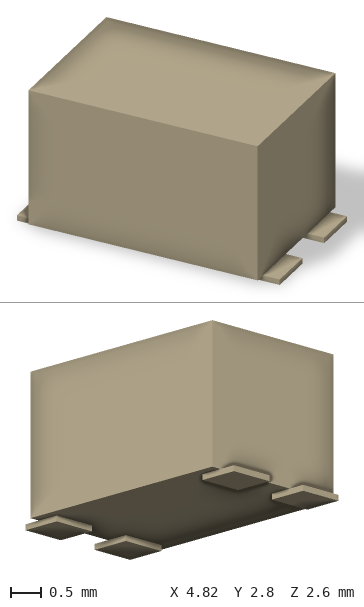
import cadquery as cq

overall_length = 4.82
overall_height = 2.6

terminal_length = 0.725
terminal_width = 0.82
terminal_thickness = 0.1
terminal_pitch = 1.6

housing_length = 4.205
housing_width = 2.8
housing_height = overall_height - terminal_thickness


def make_housing():
    """Block whose underside lies on the top of the terminals."""
    return (
        cq.Workplane("XY")
        .workplane(offset=terminal_thickness)
        .rect(housing_length, housing_width)
        .extrude(housing_height)
    )


def make_terminal(x_center, y_center):
    """Flat terminal standing on the Z = 0 plane."""
    return (
        cq.Workplane("XY")
        .center(x_center, y_center)
        .rect(terminal_length, terminal_width)
        .extrude(terminal_thickness)
    )


housing = make_housing()

terminal_x = (overall_length - terminal_length) / 2
terminal_y = terminal_pitch / 2
terminals = []
for x_side in (-1, 1):
    for y_side in (-1, 1):
        terminal = make_terminal(x_side * terminal_x, y_side * terminal_y)
        terminals.append(terminal.val())

result = cq.Compound.makeCompound([housing.val(), *terminals])